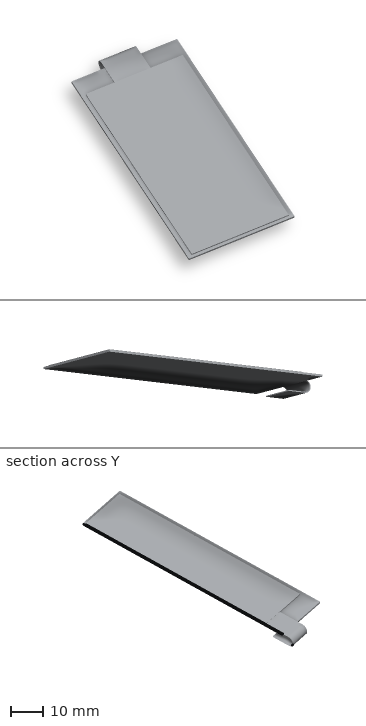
import cadquery as cq

total_length = 83.0
total_height = 4.1

panel_length = 78.9
panel_width = 36.7
panel_thickness = 0.7

sheet_rise = 0.4
sheet_start = 10.8
sheet_end_margin = 1.0
sheet_side_margin = 1.5

tab_width = 12.5
tab_center_y = -0.6
tab_thickness = 0.3
tab_lower_end = 8.1

panel_start = total_length - panel_length
panel_top = total_height - sheet_rise
tab_top = panel_top + tab_thickness
bend_radius = tab_top / 2
inner_radius = bend_radius - tab_thickness


def make_panel():
    """Rectangular base plate."""
    return (
        cq.Workplane("XY")
        .box(panel_length, panel_width, panel_thickness, centered=(False, True, False))
        .translate((panel_start, 0, panel_top - panel_thickness))
    )


def make_sheet():
    """Thin raised sheet, set in from the panel edges."""
    length = total_length - sheet_end_margin - sheet_start
    width = panel_width - 2 * sheet_side_margin
    return (
        cq.Workplane("XY")
        .box(length, width, sheet_rise, centered=(False, True, False))
        .translate((sheet_start, 0, panel_top))
    )


def make_tab():
    """Strip lying on the panel, bent through a half circle to a lower run."""
    return (
        cq.Workplane("XZ", origin=(0, tab_center_y, 0))
        .moveTo(sheet_start, tab_top)
        .lineTo(bend_radius, tab_top)
        .threePointArc((0, bend_radius), (bend_radius, 0))
        .lineTo(tab_lower_end, 0)
        .lineTo(tab_lower_end, tab_thickness)
        .lineTo(bend_radius, tab_thickness)
        .threePointArc((tab_thickness, bend_radius), (bend_radius, bend_radius + inner_radius))
        .lineTo(sheet_start, panel_top)
        .close()
        .extrude(tab_width / 2, both=True)
    )


result = make_panel().union(make_sheet()).union(make_tab())